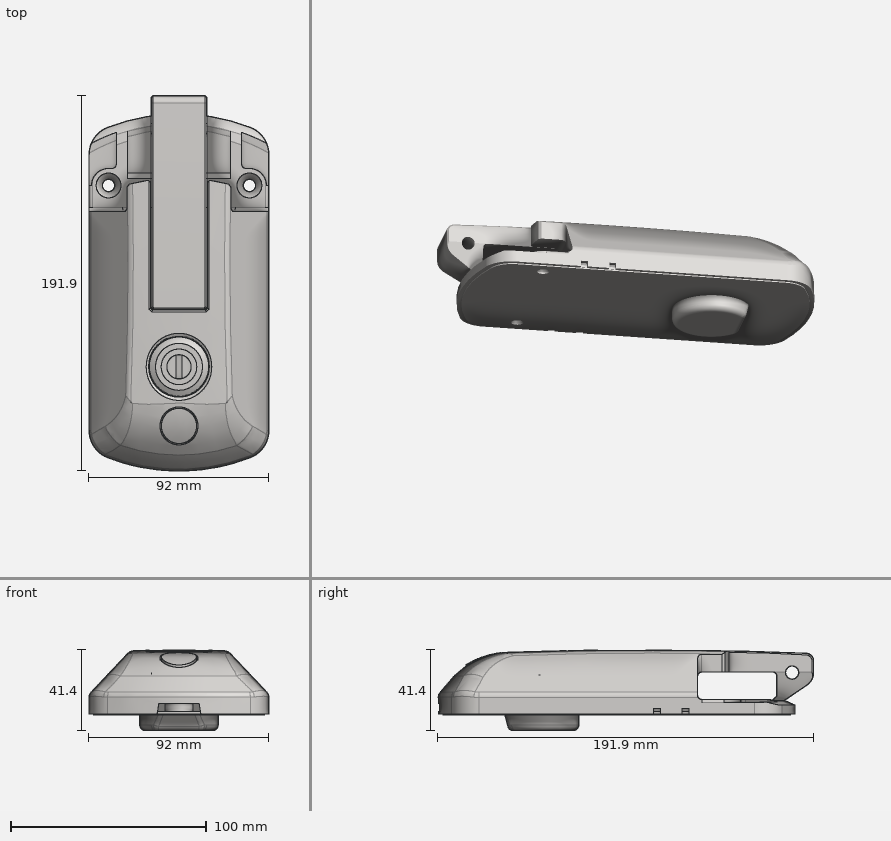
import cadquery as cq
import math


width = 92.0
half_width = width / 2
front_end_y = -53.3
back_end_y = 129.3
end_radius = 100.0
corner_radius = 15.0
front_arc_y = front_end_y + end_radius
back_arc_y = back_end_y - end_radius
end_sagitta = end_radius - math.sqrt(end_radius**2 - half_width**2)
above_all = 60.0
beyond = 200.0

crown_z = 32.9
crown_mid_y = 55.0
crown_length_radius = 2000.0
crown_width_radius = 500.0

side_top_z = 10.0
side_slope = math.radians(46.6)
apex_z = 39.5
crown_edge_radius = 4.0
side_edge_radius = 4.0

nose_top_y = -18.5
nose_top_z = 31.55
nose_radius = 43.0
nose_top_angle = 4.5
nose_low_angle = 44.2
nose_slope = math.radians(49)
nose_side_top_radius = crown_edge_radius
nose_side_radius = 15.0

floor_z = 7.5
floor_edge_radius = 1.7
rear_rim_z = 4.5
rear_step = (95.0, 6.7)
rear_flat_radius = 90.0
recess_floor_radius = 92.2
recess_rim_rise = 0.35
wall_y = 79.3
wall_foot_radius = 2.2
tower_half_width = 26.6
tower_back_y = 96.6
tower_inner_fillet = 2.0
tower_corner = 1.2
pad_recess_z = 5.9
pad_recess_x = 32.0
pad_recess_rim_radius = 96.2
pad_recess_corner = 2.5
floor_recess_z = 6.4
floor_recess_y = 96.4
floor_recess_ramp = 2.6
floor_recess_half_width = 26.3
floor_recess_rim_radius = 95.0
screw_x = 36.0
screw_y = 92.7
screw_diameter = 6.2
countersink_diameter = 12.7
screw_pad_radius = 8.7

boss_radius = 20.1
boss_y = -1.5
boss_depth = 8.52
boss_rim_radius = 3.0
boss_corner_radius = 4.0
boss_flat_y = -19.4
boss_flat_run = 2.3
gasket_thickness = 0.5
gasket_inset = 2.3
front_notch_half_width = 11.2
front_notch_top_half_width = 10.3
front_notch_height = 5.4
front_notch_depth = 12.0
notch_post_radius = 7.2
notch_post_y = front_end_y + 9.5
tab_height = 1.3
side_notch_ys = (58.5, 73.1)
side_notch_width = 3.5
side_notch_height = 2.9
side_notch_depth = 3.0
side_tab_setback = 2.0

lever_width = 28.5
lever_front_y = 29.3
lever_tip_y = front_end_y + 191.94
lever_under_z = 21.4
lever_edge = 0.9
lever_corner = 1.0
lever_tip_radius = 4.0
hook_inner_y = 119.7
hook_toe_y = 117.3
hook_heel_y = 123.6
hook_foot_z = 6.9
hook_toe_z = 9.2
hook_tip_z = 17.1
hook_tip_radius = 8.0
hook_foot_half_width = 10.0
hook_corner_radius = 1.8
pin_hole_y = 127.6
pin_hole_z = 21.2
pin_hole_diameter = 6.6
slot_gap = 0.3
slot_chamfer = 0.9

lock_top_z = 32.1
lock_tilt = math.degrees(crown_mid_y / crown_length_radius)
lock_floor_z = 20.0
lock_hole_radius = 15.5
lock_hole_rim_radius = 17.2
lock_hole_rim_depth = 0.9
collar_radius = 15.2
collar_face_radius = 12.0
collar_bevel_depth = 1.6
core_radius = 9.1
plug_radius = 6.2
plug_recess = 0.3
key_slot_size = (3.1, 12.0)
key_slot_depth = 0.8
button_y = -30.2
button_radius = 9.0
button_hole_radius = 9.7
button_floor_z = 17.0
button_face_shift = 1.2


def box(x0, x1, y0, y1, z0, z1):
    """Box given by its limits along each axis."""
    block = cq.Workplane("XY").box(x1 - x0, y1 - y0, z1 - z0, centered=False)
    return block.translate((x0, y0, z0))


def disc(radius, y, z0, z1):
    """Vertical cylinder on the centre plane."""
    return cq.Workplane("XY", origin=(0, y, z0)).circle(radius).extrude(z1 - z0)


def turned(points, y):
    """Solid of revolution about a vertical axis, from (radius, z) points."""
    return (
        cq.Workplane("XZ", origin=(0, y, 0))
        .polyline(points)
        .close()
        .revolve(360, (0, 0, 0), (0, 1, 0))
    )


def square_to_crown(lock_part):
    """Tip a lock part so that its axis is square to the crown above it."""
    return lock_part.rotate((0, 0, lock_top_z), (1, 0, lock_top_z), lock_tilt)


def outline(z0, z1, inset=0.0):
    """Slab with the housing's plan outline: straight sides, arched ends, round corners."""
    side = half_width - inset
    front_y = front_end_y + inset
    back_y = back_end_y - inset
    return (
        cq.Workplane("XY", origin=(0, 0, z0))
        .moveTo(-side, front_y + end_sagitta)
        .threePointArc((0, front_y), (side, front_y + end_sagitta))
        .lineTo(side, back_y - end_sagitta)
        .threePointArc((0, back_y), (-side, back_y - end_sagitta))
        .close()
        .extrude(z1 - z0)
        .edges("|Z")
        .fillet(corner_radius - inset)
    )


def crown():
    """Everything below the crowned top surface."""
    reach = 145.0
    axis_z = crown_z - crown_width_radius
    end_z = crown_z - reach**2 / (2 * crown_length_radius)
    return (
        cq.Workplane("YZ")
        .moveTo(crown_mid_y - reach, axis_z)
        .lineTo(crown_mid_y - reach, end_z)
        .threePointArc((crown_mid_y, crown_z), (crown_mid_y + reach, end_z))
        .lineTo(crown_mid_y + reach, axis_z)
        .close()
        .revolve(360, (0, axis_z, 0), (1, axis_z, 0))
    )


def nose():
    """Body turned about the front arc's centre, open to the rear, that rounds the front."""
    top_angle = math.radians(nose_top_angle)
    centre_y = nose_top_y + nose_radius * math.sin(top_angle)
    centre_z = nose_top_z - nose_radius * math.cos(top_angle)

    def on_arc(degrees):
        angle = math.radians(degrees)
        y = centre_y - nose_radius * math.sin(angle)
        return (front_arc_y - y, centre_z + nose_radius * math.cos(angle))

    start = on_arc(nose_top_angle / 2)
    low = on_arc(nose_low_angle)
    bottom_z = -5.0
    bottom_radius = low[0] + (low[1] - bottom_z) / math.tan(nose_slope)
    front = (
        cq.Workplane("XZ", origin=(0, front_arc_y, 0))
        .moveTo(0, bottom_z)
        .lineTo(bottom_radius, bottom_z)
        .lineTo(*low)
        .threePointArc(on_arc(nose_low_angle / 2), start)
        .lineTo(start[0], above_all)
        .lineTo(0, above_all)
        .close()
        .revolve(360, (0, 0, 0), (0, 1, 0))
    )
    rear = box(-width, width, front_arc_y, beyond, bottom_z, above_all)
    return front.union(rear)


def sloped_prism():
    """Prism along Y whose sides lean in above the vertical part of the housing."""
    base_z = -5.0
    base_x = half_width + (side_top_z - base_z) / math.tan(side_slope)
    apex_x = half_width - (apex_z - side_top_z) / math.tan(side_slope)
    section = [(-base_x, base_z), (base_x, base_z), (apex_x, apex_z), (-apex_x, apex_z)]
    return cq.Workplane("XZ", origin=(0, 140, 0)).polyline(section).close().extrude(210)


def round_ridges(shell, ridges):
    """Round the nose ridges with a radius that is small at the crown and grows down the arc."""
    top = max(vertex.Z for edge in ridges for vertex in edge.Vertices())
    fillet = cq.occ_impl.shapes.BRepFilletAPI_MakeFillet(shell.val().wrapped)
    for edge in ridges:
        fillet.Add(edge.wrapped)
    for edge in ridges:
        for vertex in edge.Vertices():
            at_top = vertex.Z > top - 1
            radius = nose_side_top_radius if at_top else nose_side_radius
            fillet.SetRadius(radius, fillet.Contour(edge.wrapped), vertex.wrapped)
    return cq.Workplane(cq.Shape.cast(fillet.Shape()))


def housing_blank():
    """Full-length housing with its rounded nose, crowned top and softened edges."""
    prism = sloped_prism()
    arched = prism.intersect(crown())
    crown_edges = [
        edge for edge in arched.edges().vals()
        if abs(edge.Center().x) > 20 and edge.BoundingBox().zmin > 28 and edge.BoundingBox().ylen > 40
    ]
    arched = arched.newObject(crown_edges).fillet(crown_edge_radius)

    nosed = prism.intersect(nose())
    ridges = [
        edge for edge in nosed.edges().vals()
        if edge.Center().y < -20 and abs(edge.Center().x) > 24 and edge.BoundingBox().ylen > 2
        and edge.BoundingBox().zmax < apex_z and edge.BoundingBox().zlen > 1
    ]
    shell = round_ridges(nosed, ridges).intersect(arched).intersect(outline(0, above_all))
    rim = [
        edge for edge in shell.edges().vals()
        if edge.BoundingBox().zmin > 7 and edge.BoundingBox().zmax < 16 and edge.Center().y < 100
    ]
    return shell.newObject(rim).fillet(side_edge_radius)


def rear_cutter():
    """Space behind the cross wall, around and beneath the overhanging tower."""
    side = box(tower_half_width, width, wall_y, beyond, floor_z, above_all)
    side = side.edges("|Z and <X and <Y").fillet(tower_inner_fillet)
    side = side.edges("|X and <Y and <Z").fillet(wall_foot_radius)
    window = box(-width, width, wall_y, beyond, floor_z, lever_under_z)
    window = window.edges("|X and <Y").fillet(wall_foot_radius)
    tail = box(-width, width, wall_y, beyond, floor_z, above_all)
    tail = tail.cut(disc(end_radius, tower_back_y - end_radius, 0, above_all))
    under = box(-width, width, wall_y + wall_foot_radius, beyond, -1, floor_z)
    return side.union(side.mirror("YZ")).union(window).union(tail).union(under)


def recess_limit(z, rim_radius):
    """Space above a recess floor that slopes up a little to its arched rear rim."""
    return turned(
        [(0, z), (recess_floor_radius, z), (rim_radius, z + recess_rim_rise),
         (rim_radius, above_all), (0, above_all)],
        back_arc_y,
    )


def screw_hole():
    """Countersunk through hole, about the vertical axis of the left screw."""
    sink_radius = countersink_diameter / 2
    hole_radius = screw_diameter / 2
    return turned(
        [(0, 0), (hole_radius, 0), (hole_radius, floor_z - sink_radius + hole_radius),
         (sink_radius, floor_z), (0, floor_z)],
        screw_y,
    ).translate((-screw_x, 0, 0))


def floor_plate():
    """Thin rear plate with rounded side edges, a bevelled back rim and recesses."""
    plate = outline(0, floor_z).faces(">Z").edges().fillet(floor_edge_radius)
    bevel = turned(
        [(0, 0), (end_radius + 1, 0), (end_radius + 1, rear_rim_z), (end_radius, rear_rim_z),
         rear_step, (rear_flat_radius, floor_z), (0, floor_z)],
        back_arc_y,
    )
    plate = plate.intersect(box(-width, width, wall_y - 1, beyond, 0, floor_z)).intersect(bevel)

    pad = box(pad_recess_x, width, screw_y, beyond, pad_recess_z, above_all)
    screw_pad = cq.Workplane("XY").center(screw_x, screw_y).circle(screw_pad_radius).extrude(above_all)
    pad = pad.cut(screw_pad).edges("|Z and <X").fillet(pad_recess_corner)
    pad = pad.intersect(recess_limit(pad_recess_z, pad_recess_rim_radius))
    ramp = (
        cq.Workplane("YZ", origin=(-floor_recess_half_width, 0, 0))
        .polyline([(floor_recess_y, floor_z), (floor_recess_y + floor_recess_ramp, floor_recess_z),
                   (beyond, floor_recess_z), (beyond, floor_z)])
        .close()
        .extrude(2 * floor_recess_half_width)
        .intersect(recess_limit(floor_recess_z, floor_recess_rim_radius))
    )
    plate = plate.cut(pad).cut(pad.mirror("YZ")).cut(ramp)
    return plate.cut(screw_hole()).cut(screw_hole().mirror("YZ"))


def boss():
    """Round boss under the lock with a rounded-off rim and a sloping flat at the front."""
    body = disc(boss_radius, boss_y, -boss_depth, 0)
    flat = (
        cq.Workplane("YZ", origin=(-width / 2, 0, 0))
        .polyline([(boss_flat_y, 0), (boss_flat_y + boss_flat_run, -boss_depth),
                   (front_end_y, -boss_depth), (front_end_y, 0)])
        .close()
        .extrude(width)
    )
    body = body.cut(flat)
    corners = [edge for edge in body.edges().vals() if edge.Center().y < 0 and edge.BoundingBox().zlen > 1]
    body = body.newObject(corners).fillet(boss_corner_radius)
    return body.faces("<Z").edges().fillet(boss_rim_radius)


def front_notch():
    """Tapered notch in the lower front edge, deep enough to show a round post inside."""
    section = [(-front_notch_half_width, 0), (front_notch_half_width, 0),
               (front_notch_top_half_width, front_notch_height),
               (-front_notch_top_half_width, front_notch_height)]
    inner_y = front_end_y + front_notch_depth
    notch = cq.Workplane("XZ", origin=(0, inner_y, 0)).polyline(section).close().extrude(beyond)
    return notch.cut(disc(notch_post_radius, notch_post_y, 0, front_notch_height))


def side_notches():
    """Pairs of small latch notches in the lower side edges."""
    reach = half_width - side_notch_depth
    notches = cq.Workplane("XY")
    for y in side_notch_ys:
        y0 = y - side_notch_width / 2
        y1 = y + side_notch_width / 2
        notch = box(reach, width, y0, y1, 0, side_notch_height)
        notches = notches.union(notch).union(notch.mirror("YZ"))
    return notches


def lever_slot():
    """Open-ended slot that the lever folds into."""
    half = lever_width / 2 + slot_gap
    slot = box(-half, half, lever_front_y - slot_gap, beyond, lever_under_z, above_all)
    return slot.edges("|Z and <Y").chamfer(lever_corner)


def make_housing(blank):
    """Housing with its rear plate, lever slot, lock and button holes, notches and boss."""
    body = blank.cut(rear_cutter())
    body = body.cut(lever_slot())
    tower_corners = [
        edge for edge in body.edges("|Z").vals()
        if tower_back_y - 5 < edge.Center().y < tower_back_y + 1 and edge.Center().z > lever_under_z
    ]
    body = body.newObject(tower_corners).chamfer(tower_corner)
    slot_half = lever_width / 2 + slot_gap
    slot_rim = [
        edge for edge in body.edges().vals()
        if edge.BoundingBox().zmin > 30 and abs(edge.Center().x) < slot_half + 0.1
        and lever_front_y - 1 < edge.Center().y < tower_back_y - 3
    ]
    body = body.newObject(slot_rim).chamfer(slot_chamfer)
    body = body.union(floor_plate())

    rim_top = lock_top_z + 1
    rim_slope = (lock_hole_rim_radius - lock_hole_radius) / lock_hole_rim_depth
    lock_hole = turned(
        [(0, lock_floor_z), (lock_hole_radius, lock_floor_z),
         (lock_hole_radius, lock_top_z - lock_hole_rim_depth),
         (lock_hole_rim_radius + rim_slope, rim_top), (0, rim_top)],
        0,
    )
    button_hole = disc(button_hole_radius, button_y, button_floor_z, above_all)
    body = body.cut(square_to_crown(lock_hole)).cut(button_hole).cut(front_notch()).cut(side_notches())
    return body.union(boss())


def make_gasket():
    """Thin pad under the housing, with tabs turned up into the edge notches."""
    sheet = outline(-gasket_thickness, 0, gasket_inset)
    inner_y = front_end_y + front_notch_depth
    front_tab = box(-half_width, half_width, front_end_y, inner_y, 0, tab_height)
    front_tab = front_tab.intersect(front_notch())
    side_tabs = side_notches().intersect(box(-width, width, front_end_y, back_end_y, 0, tab_height))
    side_tabs = side_tabs.intersect(outline(0, tab_height, side_tab_setback))
    tabs = front_tab.intersect(outline(0, tab_height)).union(side_tabs)
    holes = (
        cq.Workplane("XY", origin=(0, 0, -gasket_thickness))
        .pushPoints([(-screw_x, screw_y), (screw_x, screw_y)])
        .circle(screw_diameter / 2)
        .extrude(gasket_thickness)
    )
    return sheet.union(tabs).cut(boss()).cut(holes)


def make_lever():
    """Lever with a flat underside and a tapering hook at its tip."""
    half = lever_width / 2
    bar = (
        cq.Workplane("YZ", origin=(-half, 0, 0))
        .moveTo(lever_front_y, lever_under_z)
        .lineTo(hook_inner_y, lever_under_z)
        .lineTo(hook_inner_y, hook_toe_z)
        .lineTo(hook_toe_y, hook_foot_z)
        .lineTo(hook_heel_y, hook_foot_z)
        .lineTo(lever_tip_y, hook_tip_z)
        .lineTo(lever_tip_y, above_all)
        .lineTo(lever_front_y, above_all)
        .close()
        .extrude(lever_width)
        .intersect(crown())
    )
    taper = (
        cq.Workplane("XZ", origin=(0, beyond, 0))
        .polyline([(-half, above_all), (-half, lever_under_z), (-hook_foot_half_width, hook_foot_z),
                   (hook_foot_half_width, hook_foot_z), (half, lever_under_z), (half, above_all)])
        .close()
        .extrude(2 * beyond)
    )
    bar = bar.edges("|X").edges(cq.selectors.NearestToPointSelector((0, hook_inner_y, lever_under_z)))
    bar = bar.fillet(hook_corner_radius)
    bar = bar.edges("|X").edges(cq.selectors.NearestToPointSelector((0, lever_tip_y, hook_tip_z)))
    bar = bar.fillet(hook_tip_radius)
    tip = [
        edge for edge in bar.edges().vals()
        if edge.Center().z > 30 and abs(edge.Center().y - lever_tip_y) < 0.1
    ]
    bar = bar.newObject(tip).fillet(lever_tip_radius)
    bar = bar.edges("|Z and <Y").chamfer(lever_corner)
    outer_edges = [
        edge for edge in bar.edges().vals()
        if (edge.Center().z > crown_z - 2 and edge.Center().y < lever_front_y + 2 * lever_corner)
        or (abs(edge.Center().x) > half - 0.2 and edge.Center().z > crown_z - 2)
        or (abs(edge.Center().x) > half - 0.2 and edge.Center().y > pin_hole_y)
    ]
    bar = bar.newObject(outer_edges).chamfer(lever_edge)
    pin_hole = (
        cq.Workplane("YZ", origin=(-half, 0, 0))
        .center(pin_hole_y, pin_hole_z)
        .circle(pin_hole_diameter / 2)
        .extrude(lever_width)
    )
    return bar.intersect(taper).cut(pin_hole)


def make_collar():
    """Ring around the lock core with a bevelled outer rim."""
    return turned(
        [(core_radius, lock_floor_z), (collar_radius, lock_floor_z),
         (collar_radius, lock_top_z - collar_bevel_depth), (collar_face_radius, lock_top_z),
         (core_radius, lock_top_z)],
        0,
    )


def make_core():
    """Lock core with a recessed plug face and a key slot."""
    plug_z = lock_top_z - plug_recess
    slot_x, slot_y = key_slot_size
    body = disc(core_radius, 0, lock_floor_z, lock_top_z)
    body = body.cut(disc(plug_radius, 0, plug_z, lock_top_z))
    slot = box(-slot_x / 2, slot_x / 2, -slot_y / 2, slot_y / 2, plug_z - key_slot_depth, lock_top_z)
    return body.cut(slot)


def make_button(blank):
    """Round button whose face follows the nose of the housing, standing slightly proud at the front."""
    button = disc(button_radius, button_y, button_floor_z, above_all)
    return button.intersect(blank.translate((0, -button_face_shift, 0)))


blank = housing_blank()
housing = make_housing(blank)
gasket = make_gasket()
lever = make_lever()
collar = square_to_crown(make_collar())
core = square_to_crown(make_core())
button = make_button(blank)

result = cq.Compound.makeCompound([
    housing.val(),
    gasket.val(),
    lever.val(),
    collar.val(),
    core.val(),
    button.val(),
])